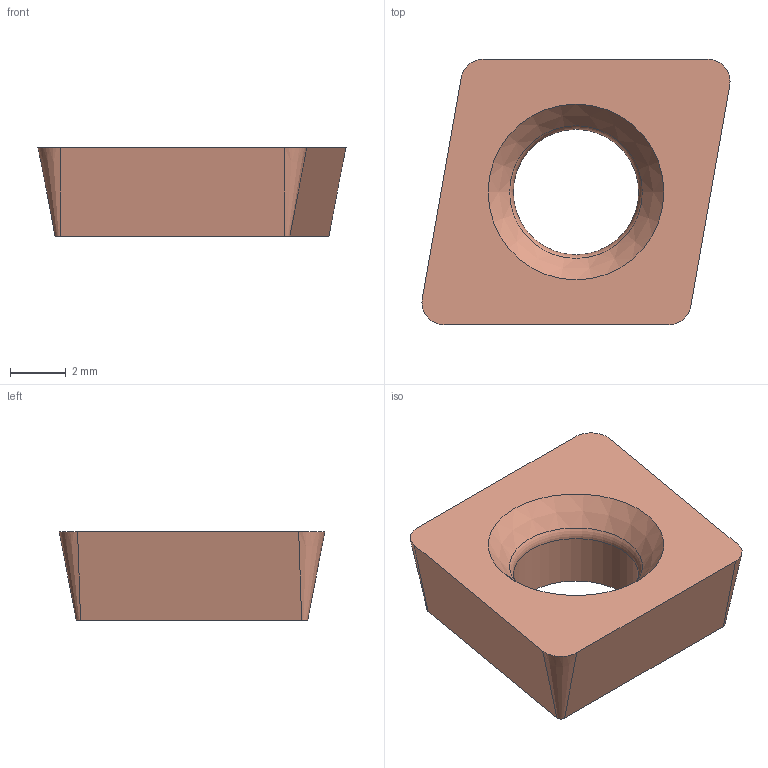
import cadquery as cq
import math

inscribed_diameter = 9.525
thickness = 3.18
corner_angle = 80.0
corner_radius = 0.8
relief_angle = 11.0

bore_radius = 2.25
countersink_radius = 3.15
countersink_half_angle = 39.0
seat_blend_radius = 0.6


def rhombus_section(inset, height):
    """Rounded rhombus sketch whose sides lie `inset` inside the top outline."""
    half_height = inscribed_diameter / 2 - inset
    half_side = half_height / math.sin(math.radians(corner_angle))
    lean = half_height / math.tan(math.radians(corner_angle))
    corners = [
        (-half_side - lean, -half_height),
        (half_side - lean, -half_height),
        (half_side + lean, half_height),
        (-half_side + lean, half_height),
    ]
    sketch = cq.Sketch().polygon(corners + corners[:1]).vertices().fillet(corner_radius - inset)
    return sketch.moved(cq.Location(cq.Vector(0, 0, height)))


def make_body():
    """Body that narrows from the top face down to the bottom face."""
    bottom_inset = thickness * math.tan(math.radians(relief_angle))
    bottom = rhombus_section(bottom_inset, 0)
    top = rhombus_section(0, thickness)
    return cq.Workplane("XY").placeSketch(bottom, top).loft(ruled=True)


def make_screw_hole():
    """Solid of revolution removed for the screw and its conical head."""
    angle = math.radians(countersink_half_angle)
    blend_center_radius = bore_radius + seat_blend_radius
    blend_top_radius = blend_center_radius - seat_blend_radius * math.cos(angle)
    blend_mid_radius = blend_center_radius - seat_blend_radius * math.cos(angle / 2)
    blend_top_z = thickness - (countersink_radius - blend_top_radius) / math.tan(angle)
    blend_center_z = blend_top_z - seat_blend_radius * math.sin(angle)
    blend_mid_z = blend_center_z + seat_blend_radius * math.sin(angle / 2)
    return (
        cq.Workplane("XZ")
        .lineTo(bore_radius, 0)
        .lineTo(bore_radius, blend_center_z)
        .threePointArc((blend_mid_radius, blend_mid_z), (blend_top_radius, blend_top_z))
        .lineTo(countersink_radius, thickness)
        .lineTo(0, thickness)
        .close()
        .revolve(360, (0, 0), (0, 1))
    )


result = make_body().cut(make_screw_hole())